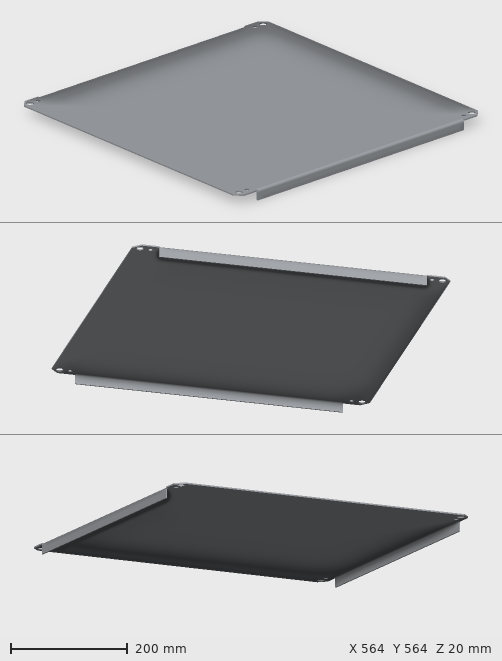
import cadquery as cq

side = 564.0
height = 20.0
sheet = 2.5
outer_bend_radius = 5.0
corner_cut = 13.5
flange_end_gap = 44.5
large_hole_diameter = 13.0
small_hole_diameter = 8.0
hole_spacing = 536.0
hole_pitch = 18.5

inner_bend_radius = outer_bend_radius - sheet
flange_length = side - 2 * flange_end_gap
hole_offset = hole_spacing / 2
small_hole_y = hole_offset - hole_pitch


def make_plate():
    """Flat sheet with chamfered corners; its top face is at Z = 0."""
    plate = cq.Workplane("XY").rect(side, side).extrude(-sheet)
    return plate.edges("|Z").chamfer(corner_cut)


def make_channel():
    """Folded middle length: plate width with a rounded bend and flange on both X sides."""
    outside = (
        cq.Workplane("XY")
        .box(side, flange_length, height, centered=(True, True, False))
        .translate((0, 0, -height))
        .edges("|Y and >Z")
        .fillet(outer_bend_radius)
    )
    inside = (
        cq.Workplane("XY")
        .box(side - 2 * sheet, flange_length, height - sheet, centered=(True, True, False))
        .translate((0, 0, -height))
        .edges("|Y and >Z")
        .fillet(inner_bend_radius)
    )
    return outside.cut(inside)


def make_corner_holes(diameter, y_offset):
    """Through-hole cutters, one near each corner."""
    centres = [(sx * hole_offset, sy * y_offset) for sx in (-1, 1) for sy in (-1, 1)]
    return cq.Workplane("XY").pushPoints(centres).circle(diameter / 2).extrude(-height)


folded_length = cq.Workplane("XY").box(side, flange_length, 2 * height)
flat_ends = make_plate().cut(folded_length)

result = (
    flat_ends.union(make_channel())
    .cut(make_corner_holes(large_hole_diameter, hole_offset))
    .cut(make_corner_holes(small_hole_diameter, small_hole_y))
)